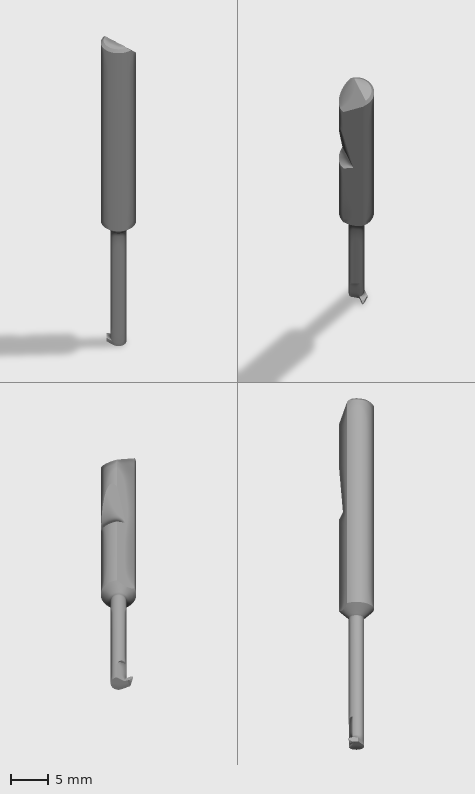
import cadquery as cq
import math

total_length = 50.79
shank_diameter = 4.76
shank_length = 30.35
end_chamfer = 0.38
neck_diameter = 2.1
neck_bottom = 0.14

flat_angle = 35.0

slope_start_y = -0.5

notch_top_drop = 8.0
notch_floor_drop = 16.3
notch_bottom_drop = 16.95
notch_depth = 1.22

gullet_top = 4.15
gullet_axis_distance = 0.75
gullet_corner_radius = 1.1

tooth_reach = 2.14
tooth_top = 0.72
nose_top = 0.5
nose_bottom = 0.3
nose_bevel = 0.4
tip_x = -1.62
heel_x = -1.26

shank_radius = shank_diameter / 2
neck_radius = neck_diameter / 2
shank_bottom = total_length - shank_length
neck_top = shank_bottom - (shank_radius - neck_radius)
clear = 2 * shank_diameter


def turned_body():
    """Chamfered shank, 45 degree cone and neck."""
    profile = [
        (0, neck_bottom),
        (-neck_radius, neck_bottom),
        (-neck_radius, neck_top),
        (-shank_radius, shank_bottom),
        (-shank_radius, total_length - end_chamfer),
        (-shank_radius + end_chamfer, total_length),
        (0, total_length),
    ]
    return cq.Workplane("XZ").polyline(profile).close().revolve(360, (0, 0, 0), (0, 1, 0))


def flat_plane(start_x):
    """Plane of a flat through (start_x, 0): local -x runs along the flat toward +Y, local y is Z."""
    angle = math.radians(flat_angle)
    return cq.Plane(
        origin=(start_x, 0, 0),
        xDir=(-math.sin(angle), -math.cos(angle), 0),
        normal=(-math.cos(angle), math.sin(angle), 0),
    )


def shank_flat():
    """Cutter for the full-length flat of the shank, running out on the cone."""
    return (
        cq.Workplane(flat_plane(-shank_radius))
        .moveTo(-clear, neck_top)
        .lineTo(clear, neck_top)
        .lineTo(clear, total_length)
        .lineTo(-clear, total_length)
        .close()
        .extrude(clear)
    )


def chip_gullet():
    """Cutter for the gullet: a flat floor rounded at its upper end, stopping at the rake plane Y = 0."""
    angle = math.radians(flat_angle)
    floor_start_x = -gullet_axis_distance / math.cos(angle)
    half_chord = math.sqrt(neck_radius**2 - gullet_axis_distance**2)
    floor_width = half_chord + gullet_axis_distance * math.tan(angle)
    cutter = (
        cq.Workplane(flat_plane(floor_start_x))
        .moveTo(clear, 0)
        .lineTo(-floor_width, 0)
        .lineTo(-floor_width, gullet_top - gullet_corner_radius)
        .radiusArc((gullet_corner_radius - floor_width, gullet_top), gullet_corner_radius)
        .lineTo(clear, gullet_top)
        .close()
        .extrude(clear)
    )
    behind_rake_plane = cq.Workplane("XY").box(2 * clear, clear, gullet_top, centered=(True, False, False))
    return cutter.intersect(behind_rake_plane)


def end_slope():
    """Cutter for the 45 degree slope falling toward +Y at the shank end."""
    return (
        cq.Workplane("YZ")
        .moveTo(slope_start_y, total_length)
        .lineTo(slope_start_y + clear, total_length - clear)
        .lineTo(slope_start_y + clear, total_length)
        .close()
        .extrude(clear, both=True)
    )


def clamping_notch():
    """Cutter for the wedge-shaped notch across the +Y side of the shank."""
    floor_y = shank_radius - notch_depth
    return (
        cq.Workplane("YZ")
        .moveTo(shank_radius, total_length - notch_top_drop)
        .lineTo(floor_y, total_length - notch_floor_drop)
        .lineTo(shank_radius, total_length - notch_bottom_drop)
        .close()
        .extrude(clear, both=True)
    )


def tooth():
    """Tooth with its rake face at Y = 0 and a slanting clearance face behind the nose."""
    rake_face = [
        (0, neck_bottom),
        (0, tooth_top),
        (-tooth_reach + nose_bevel, tooth_top),
        (-tooth_reach, nose_top),
        (-tooth_reach, nose_bottom),
        (tip_x, 0),
        (heel_x, neck_bottom),
    ]
    plan = [
        (0, 0),
        (-tooth_reach, 0),
        (heel_x, -neck_radius),
        (0, -neck_radius),
    ]
    tip_relief = [
        (0, 0),
        (-neck_radius, neck_bottom),
        (-neck_radius, 0),
    ]
    blank = cq.Workplane("XZ").polyline(rake_face).close().extrude(neck_radius)
    plan_body = cq.Workplane("XY").polyline(plan).close().extrude(tooth_top)
    relief_body = cq.Workplane("YZ").polyline(tip_relief).close().extrude(-clear)
    return blank.intersect(plan_body).cut(relief_body)


result = (
    turned_body()
    .cut(shank_flat())
    .cut(chip_gullet())
    .cut(end_slope())
    .cut(clamping_notch())
    .union(tooth())
)